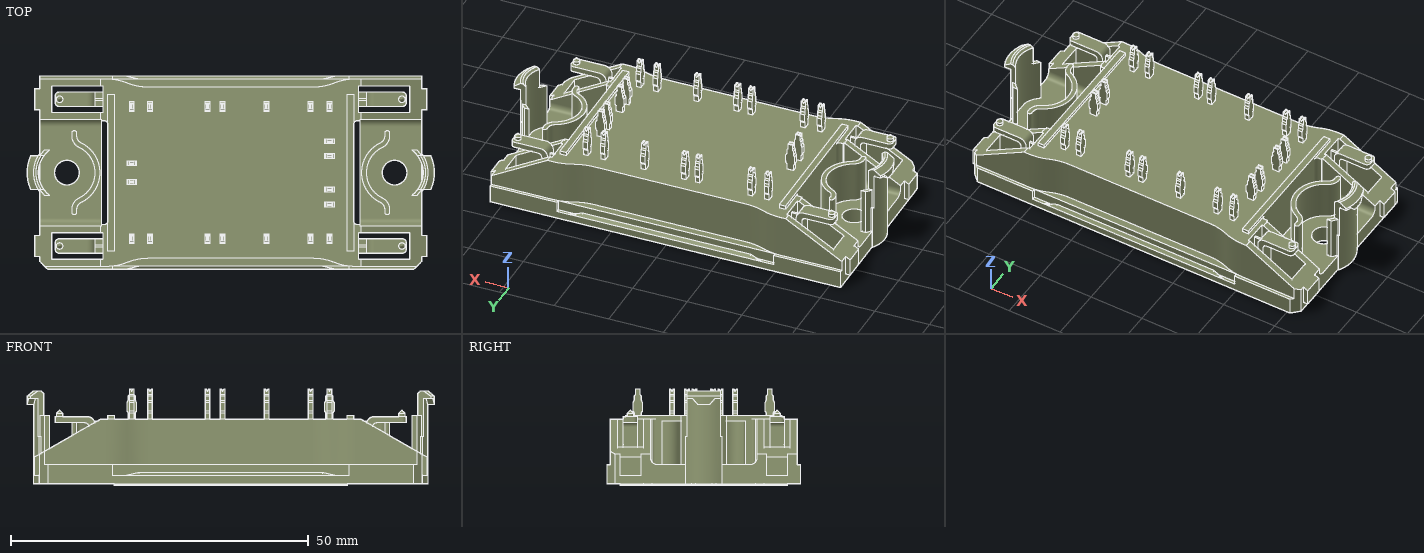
import cadquery as cq
import math

plate_bottom = 0.0
housing_bottom = 0.3
recess_floor = 1.65
bevel_top = 2.2
flange_top = 3.5
housing_top = 11.15
pin_top = 16.2

overall_length = 68.4
plate_length = 39.1
plate_width = 28.05
flange_half_x = 32.1
flange_width = 32.5
flange_half_y = flange_width / 2
upper_half_y = 15.7
waist_half_y = 14.35
waist_half_x = 13.9
shoulder_half_x = 20.85
corner_chamfer = 1.4

slope_top_x = 21.8
tip_x = 32.9
tip_z = 4.8
bay_half_y = 8.95
bay_end_x = 21.7
bay_fillet = 1.2
slit_half_y = 8.7
slit_fillet = 0.55
slit_end_x = 20.65
window_inner_x = 21.5
window_outer_x = 30.0
window_width = 4.4
arm_y = 12.3
tab_width = 3.55
tab_bottom = 1.7
screw_x = 27.5
screw_radius = 2.05

overlap = 0.5


def centred_box(x_min, x_max, width, z_min, z_max, y=0.0):
    """Box given by its X and Z limits and its width centred on y."""
    return (
        cq.Workplane("XY")
        .box(x_max - x_min, width, z_max - z_min, centered=(False, True, False))
        .translate((x_min, y, z_min))
    )


def both_ends(solid):
    """The +X end feature together with its mirror image at the -X end."""
    return solid.union(solid.mirror("YZ"))


def both_sides(solid):
    """The +Y feature together with its mirror image on the -Y side."""
    return solid.union(solid.mirror("XZ"))


def make_plan(z_min, z_max):
    """Rectangular slab of the flange outline with its two -Y corners cut off."""
    return (
        centred_box(-flange_half_x, flange_half_x, flange_width, z_min, z_max)
        .edges("|Z and <Y")
        .chamfer(corner_chamfer)
    )


def make_flange():
    """Bottom flange with a long recess along each side and a bevelled recess floor."""
    recess_half_x = 19.85
    recess_depth = 0.55
    recess = centred_box(
        -recess_half_x, recess_half_x, recess_depth, recess_floor, flange_top,
        y=flange_half_y - recess_depth / 2,
    )
    recess_wall_y = flange_half_y - recess_depth
    bevel = (
        cq.Workplane("YZ")
        .polyline([
            (recess_wall_y, recess_floor),
            (flange_half_y, recess_floor),
            (recess_wall_y, bevel_top),
        ])
        .close()
        .extrude(recess_half_x, both=True)
    )
    bevel_outer_x = 17.8
    bevel_inner_x = 15.4
    bevel_plan = (
        cq.Workplane("XY")
        .polyline([
            (-bevel_inner_x, recess_wall_y),
            (-bevel_outer_x, flange_half_y),
            (bevel_outer_x, flange_half_y),
            (bevel_inner_x, recess_wall_y),
        ])
        .close()
        .extrude(flange_top)
    )
    flange = make_plan(housing_bottom, flange_top)
    return flange.cut(both_sides(recess)).union(both_sides(bevel.intersect(bevel_plan)))


def waisted_outline():
    """Housing plan: wide ends joined to a narrow middle by S-shaped shoulders."""
    run = (shoulder_half_x - waist_half_x) / 2
    rise = (upper_half_y - waist_half_y) / 2
    bend_radius = (run ** 2 + rise ** 2) / (2 * rise)
    mid_x = waist_half_x + run
    mid_y = waist_half_y + rise
    half_turn = math.asin(run / bend_radius) / 2
    bulge_x = bend_radius * math.sin(half_turn)
    bulge_y = bend_radius * (1 - math.cos(half_turn))
    outer_via = (shoulder_half_x - bulge_x, upper_half_y - bulge_y)
    inner_via = (waist_half_x + bulge_x, waist_half_y + bulge_y)
    half = (
        cq.Workplane("XY", origin=(0, 0, recess_floor))
        .moveTo(0, 0)
        .lineTo(flange_half_x, 0)
        .lineTo(flange_half_x, upper_half_y)
        .lineTo(shoulder_half_x, upper_half_y)
        .threePointArc(outer_via, (mid_x, mid_y))
        .threePointArc(inner_via, (waist_half_x, waist_half_y))
        .lineTo(0, waist_half_y)
        .close()
        .extrude(housing_top - recess_floor)
    )
    return both_sides(both_ends(half))


def make_slope():
    """Side silhouette of the housing: flat top falling away to both ends."""
    return (
        cq.Workplane("XZ")
        .polyline([
            (-tip_x, housing_bottom),
            (-tip_x, tip_z),
            (-slope_top_x, housing_top),
            (slope_top_x, housing_top),
            (tip_x, tip_z),
            (tip_x, housing_bottom),
        ])
        .close()
        .extrude(flange_half_y, both=True)
    )


def make_housing():
    """Flange, waisted upper housing and corner tabs under the sloped silhouette."""
    tab = centred_box(
        flange_half_x - overlap, tip_x, tab_width, tab_bottom, housing_top, y=arm_y)
    plan = make_plan(housing_bottom, housing_top)
    upper = waisted_outline().intersect(plan).union(both_sides(both_ends(tab)))
    return make_flange().union(upper.intersect(make_slope()))


def make_end_cuts():
    """Screw bay, slit behind it, screw hole and the corner windows."""
    bay = (
        centred_box(bay_end_x, tip_x, 2 * bay_half_y, flange_top, pin_top)
        .edges("|X and <Z")
        .fillet(bay_fillet)
    )
    slit = (
        centred_box(slit_end_x, bay_end_x, 2 * slit_half_y, plate_bottom, pin_top)
        .edges("|Z and <X")
        .fillet(slit_fillet)
    )
    hole = cq.Workplane("XY").center(screw_x, 0).circle(screw_radius).extrude(flange_top)
    window = centred_box(
        window_inner_x, window_outer_x, window_width, plate_bottom, pin_top, y=arm_y)
    return both_ends(bay.union(slit).union(hole).union(both_sides(window)))


def make_arm():
    """Spring arm: ribbed leg in the window, bent outward, with a pointed stud at the tip."""
    arm_width = 2.45
    arm_thickness = 1.0
    arm_top = 11.55
    arm_end_x = 29.5
    leg_inner_x = 22.8
    outer_bend_radius = 1.3
    inner_bend_radius = 0.75
    end_rounding = 0.7
    arm = (
        cq.Workplane("XZ")
        .polyline([
            (leg_inner_x, flange_top),
            (leg_inner_x, arm_top),
            (arm_end_x, arm_top),
            (arm_end_x, arm_top - arm_thickness),
            (leg_inner_x + arm_thickness, arm_top - arm_thickness),
            (leg_inner_x + arm_thickness, flange_top),
        ])
        .close()
        .extrude(arm_width / 2, both=True)
    )
    arm = arm.edges("|Y and <X and >Z").fillet(outer_bend_radius)
    arm = arm.edges(
        cq.selectors.NearestToPointSelector(
            (leg_inner_x + arm_thickness, 0, arm_top - arm_thickness))
    ).fillet(inner_bend_radius)
    arm = arm.edges("|Z and >X").fillet(end_rounding)

    rib_thickness = 0.35
    rib_top = 10.25
    rib = centred_box(
        slit_end_x, leg_inner_x + overlap, rib_thickness, flange_top, rib_top)

    foot_top = 6.85
    foot = centred_box(slit_end_x, leg_inner_x + overlap, arm_width, flange_top, foot_top)

    stud_radius = 0.55
    stud_height = 0.55
    point_height = 0.55
    stud_x = 28.7
    stud = (
        cq.Workplane("XZ")
        .polyline([
            (0, arm_top - overlap),
            (stud_radius, arm_top - overlap),
            (stud_radius, arm_top + stud_height),
            (0, arm_top + stud_height + point_height),
        ])
        .close()
        .revolve(360, (0, 0), (0, 1))
        .translate((stud_x, 0, 0))
    )
    return arm.union(rib).union(foot).union(stud).translate((0, arm_y, 0))


def make_hook():
    """Curved latch around the screw axis, with set-back wings and an outward nose."""
    inner_radius = 4.8
    outer_radius = 5.6
    wing_radius = 5.35
    nose_radius = overall_length / 2 - screw_x
    nose_bottom = 14.6
    nose_shoulder = 15.0
    lug_bottom = 13.55
    hook_top = 15.9
    top_bevel = 0.4
    hook_width = 5.7
    root_width = 6.1
    root_top = 8.2
    wing_top = 11.75
    wing_width = 7.6
    lug_top_half_y = 1.85
    lug_bottom_half_y = 0.95

    def ring(outer, z_min, z_max):
        return (
            cq.Workplane("XY", origin=(0, 0, z_min))
            .circle(outer)
            .circle(inner_radius)
            .extrude(z_max - z_min)
        )

    def slice_of(shape, width):
        return shape.intersect(centred_box(0, nose_radius, width, housing_bottom, hook_top))

    nose = (
        cq.Workplane("XZ")
        .polyline([
            (inner_radius, nose_bottom),
            (nose_radius, nose_bottom),
            (nose_radius, nose_shoulder),
            (outer_radius, hook_top),
            (inner_radius + top_bevel, hook_top),
            (inner_radius, hook_top - top_bevel),
        ])
        .close()
        .revolve(360, (0, 0), (0, 1))
    )
    lug_shape = (
        cq.Workplane("YZ")
        .polyline([
            (-lug_top_half_y, nose_bottom),
            (-lug_bottom_half_y, lug_bottom),
            (lug_bottom_half_y, lug_bottom),
            (lug_top_half_y, nose_bottom),
        ])
        .close()
        .extrude(nose_radius)
    )
    lug = ring(nose_radius, lug_bottom, nose_bottom).intersect(lug_shape)
    root = slice_of(ring(outer_radius, housing_bottom, root_top), root_width)
    tongue = slice_of(ring(outer_radius, housing_bottom, nose_bottom).union(nose), hook_width)
    wings = slice_of(ring(wing_radius, flange_top, wing_top), wing_width)
    return root.union(tongue).union(wings).union(lug).translate((screw_x, 0, 0))


def make_guard():
    """Wavy wall: an arc around the screw, flared at both ends into straight tips."""
    arc_radius = 5.1
    flare_radius = 1.7
    half_wall = 0.4
    tip_offset = 1.2
    tip_y = 6.65
    guard_top = 10.8

    flare_x = tip_offset + flare_radius
    flare_y = math.sqrt((arc_radius + flare_radius) ** 2 - flare_x ** 2)
    turn = math.atan2(flare_y, flare_x)
    flare_mid = math.pi + turn / 2

    def on_arc(radius):
        return (radius * math.cos(turn), radius * math.sin(turn))

    def on_flare(radius):
        return (flare_x + radius * math.cos(flare_mid), flare_y + radius * math.sin(flare_mid))

    def flipped(point):
        return (point[0], -point[1])

    outer = arc_radius + half_wall
    inner = arc_radius - half_wall
    outer_flare = flare_radius - half_wall
    inner_flare = flare_radius + half_wall
    outer_tip = (tip_offset + half_wall, tip_y)
    inner_tip = (tip_offset - half_wall, tip_y)
    tip_end = (tip_offset, tip_y + half_wall)
    outer_start = (tip_offset + half_wall, flare_y)
    inner_start = (tip_offset - half_wall, flare_y)

    wall = (
        cq.Workplane("XY", origin=(0, 0, housing_bottom))
        .moveTo(*outer_tip)
        .lineTo(*outer_start)
        .threePointArc(on_flare(outer_flare), on_arc(outer))
        .threePointArc((outer, 0), flipped(on_arc(outer)))
        .threePointArc(flipped(on_flare(outer_flare)), flipped(outer_start))
        .lineTo(*flipped(outer_tip))
        .threePointArc(flipped(tip_end), flipped(inner_tip))
        .lineTo(*flipped(inner_start))
        .threePointArc(flipped(on_flare(inner_flare)), flipped(on_arc(inner)))
        .threePointArc((inner, 0), on_arc(inner))
        .threePointArc(on_flare(inner_flare), inner_start)
        .lineTo(*inner_tip)
        .threePointArc(tip_end, outer_tip)
        .close()
        .extrude(guard_top - housing_bottom)
    )
    return wall.mirror("YZ").translate((screw_x, 0, 0))


def make_strip():
    """Raised bar across each end of the top face."""
    strip_inner_x = 19.5
    strip_length = 26.25
    strip_height = 0.6
    return centred_box(
        strip_inner_x, slit_end_x, strip_length, housing_top, housing_top + strip_height)


def make_pin():
    """Press-fit pin, wide along Y, with a forked tip; its foot is at the origin."""
    height = pin_top - housing_top
    thickness = 0.8
    foot = 0.6
    belly = 0.8
    neck = 0.4
    foot_top = 1.0
    belly_start = 1.4
    belly_end = 2.75
    shoulder_start = 3.15
    shoulder_end = 3.8
    neck_start = 4.1
    right_side = [
        (foot, -overlap),
        (foot, foot_top),
        (belly, belly_start),
        (belly, belly_end),
        (foot, shoulder_start),
        (foot, shoulder_end),
        (neck, neck_start),
        (neck, height),
    ]
    left_side = [(-y, z) for y, z in reversed(right_side)]
    pin = (
        cq.Workplane("YZ")
        .polyline(right_side + left_side)
        .close()
        .extrude(thickness / 2, both=True)
    )
    notch_half = 0.2
    notch_depth = 0.4
    notch = (
        cq.Workplane("XZ")
        .polyline([(-notch_half, height), (notch_half, height), (0, height - notch_depth)])
        .close()
        .extrude(belly, both=True)
    )
    return pin.cut(notch)


row_y = 11.1
row_x = [-16.6, -13.55, -3.9, -1.4, 6.0, 13.4, 16.55]
left_column_y = [-1.6, 1.6]
right_column_y = [-5.35, -2.8, 2.8, 5.3]

result = make_housing().cut(make_end_cuts())
result = result.union(
    centred_box(-plate_length / 2, plate_length / 2, plate_width, plate_bottom, housing_bottom)
)
for feature in (make_hook(), make_guard(), both_sides(make_arm()), make_strip()):
    result = result.union(both_ends(feature))

pin = make_pin()
turned_pin = pin.rotate((0, 0, 0), (0, 0, 1), 90)
for x in row_x:
    for y in (-row_y, row_y):
        result = result.union(pin.translate((x, y, housing_top)))
for x, column in ((row_x[0], left_column_y), (row_x[-1], right_column_y)):
    for y in column:
        result = result.union(turned_pin.translate((x, y, housing_top)))